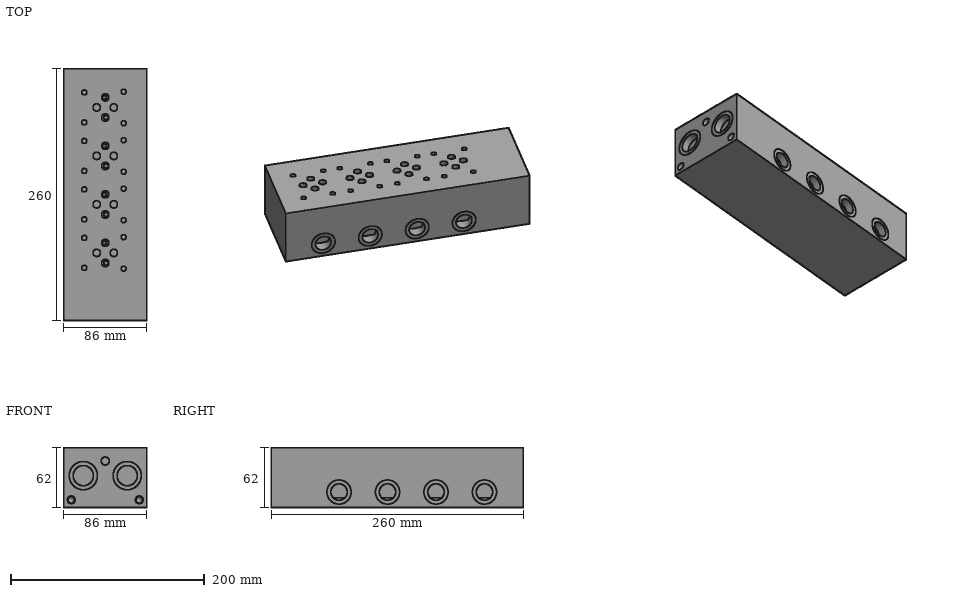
import cadquery as cq
import math

WIDTH = 86.0
LENGTH = 260.0
HEIGHT = 62.0
FRONT = -LENGTH / 2
BOTTOM = -HEIGHT / 2
TOP = HEIGHT / 2

DRILL_POINT_ANGLE = 118.0
SPOT_FACE_DEPTH = 0.3

STATION_COUNT = 4
FIRST_STATION_Y = 90.0
STATION_SPAN = 150.0
STATION_PITCH = STATION_SPAN / (STATION_COUNT - 1)
STATION_YS = [FIRST_STATION_Y - i * STATION_PITCH for i in range(STATION_COUNT)]

BOLT_DIAMETER = 5.2
BOLT_DEPTH = 14.0
LEFT_BOLT_X = -21.5
LEFT_BOLT_SPACING = 31.0
RIGHT_BOLT_X = 19.0
RIGHT_BOLT_SPACING = 32.5

PASSAGE_DIAMETER = 7.5
WORK_PASSAGE_X = 8.8
WORK_PASSAGE_DEPTH = 35.0
FEED_PASSAGE_OFFSET = 10.5
FEED_PASSAGE_DEPTH = 5.2
FEED_DRILL_DIAMETER = 4.2

SIDE_PORT_DIAMETER = 17.0
SIDE_SPOT_DIAMETER = 25.0
SIDE_PORT_DEPTH = 9.0
SIDE_PORT_LOW_DEPTH = 12.0
SIDE_PORT_LEDGE_Z = BOTTOM + 10.5
SIDE_PORT_Z = BOTTOM + 16.0

MAIN_PORT_DIAMETER = 20.8
MAIN_SPOT_DIAMETER = 29.0
MAIN_PORT_DEPTH = 9.0
MAIN_PORT_X = 22.5
MAIN_PORT_Z = BOTTOM + 33.0

GAUGE_DIAMETER = 8.3
GAUGE_DEPTH = 14.0
GAUGE_Z = BOTTOM + 48.0

MOUNT_DIAMETER = 8.0
MOUNT_DEPTH = 15.0
MOUNT_DRILL_DIAMETER = 6.8
MOUNT_DRILL_DEPTH = 20.0
MOUNT_X = 35.0
MOUNT_Z = BOTTOM + 8.0


def flat_hole(start, direction, diameter, depth):
    """Cutter for a flat-bottomed hole running from start along direction."""
    cylinder = cq.Solid.makeCylinder(diameter / 2, depth, cq.Vector(*start), cq.Vector(*direction))
    return cq.Workplane(cylinder)


def pointed_hole(start, direction, diameter, depth):
    """Cutter for a drilled hole; depth is the full-diameter length ahead of the conical tip."""
    tip_length = diameter / 2 / math.tan(math.radians(DRILL_POINT_ANGLE / 2))
    tip_start = cq.Vector(*start) + cq.Vector(*direction).normalized() * depth
    tip = cq.Solid.makeCone(diameter / 2, 0, tip_length, tip_start, cq.Vector(*direction))
    return flat_hole(start, direction, diameter, depth).union(cq.Workplane(tip))


def cut_port(body, start, direction, diameter, depth, spot_diameter):
    """Cut a flat-bottomed port with a shallow spot face around its mouth."""
    body = body.cut(flat_hole(start, direction, spot_diameter, SPOT_FACE_DEPTH))
    return body.cut(flat_hole(start, direction, diameter, depth))


def cut_bolt_holes(body, station_y):
    pairs = [(LEFT_BOLT_X, LEFT_BOLT_SPACING), (RIGHT_BOLT_X, RIGHT_BOLT_SPACING)]
    for x, spacing in pairs:
        for end in (-1, 1):
            start = (x, station_y + end * spacing / 2, TOP)
            body = body.cut(flat_hole(start, (0, 0, -1), BOLT_DIAMETER, BOLT_DEPTH))
    return body


def cut_work_passages(body, station_y):
    for side in (-1, 1):
        start = (side * WORK_PASSAGE_X, station_y, TOP)
        body = body.cut(flat_hole(start, (0, 0, -1), PASSAGE_DIAMETER, WORK_PASSAGE_DEPTH))
    return body


def cut_feed_passages(body, station_y):
    """Pointed holes, each continued by a slanted drill toward the axis height of a main port."""
    for side in (-1, 1):
        y = station_y - side * FEED_PASSAGE_OFFSET
        body = body.cut(pointed_hole((0, y, TOP), (0, 0, -1), PASSAGE_DIAMETER, FEED_PASSAGE_DEPTH))
        bend = cq.Vector(0, y, TOP - FEED_PASSAGE_DEPTH)
        run = cq.Vector(side * MAIN_PORT_X, y, MAIN_PORT_Z) - bend
        body = body.cut(flat_hole(bend.toTuple(), run.toTuple(), FEED_DRILL_DIAMETER, run.Length))
    return body


def cut_side_ports(body, station_y):
    """Port in each long side; its bottom segment, below a flat ledge, runs deeper than the rest."""
    low_zone_height = SIDE_PORT_LEDGE_Z - BOTTOM
    low_zone = cq.Workplane("XY").box(WIDTH, LENGTH, low_zone_height)
    low_zone = low_zone.translate((0, 0, BOTTOM + low_zone_height / 2))
    for side in (-1, 1):
        start = (side * WIDTH / 2, station_y, SIDE_PORT_Z)
        inward = (-side, 0, 0)
        body = cut_port(body, start, inward, SIDE_PORT_DIAMETER, SIDE_PORT_DEPTH, SIDE_SPOT_DIAMETER)
        deep_bore = flat_hole(start, inward, SIDE_PORT_DIAMETER, SIDE_PORT_LOW_DEPTH)
        body = body.cut(deep_bore.intersect(low_zone))
    return body


def cut_front_holes(body):
    inward = (0, 1, 0)
    for side in (-1, 1):
        port_start = (side * MAIN_PORT_X, FRONT, MAIN_PORT_Z)
        body = cut_port(body, port_start, inward, MAIN_PORT_DIAMETER, MAIN_PORT_DEPTH, MAIN_SPOT_DIAMETER)
        mount_start = (side * MOUNT_X, FRONT, MOUNT_Z)
        body = body.cut(flat_hole(mount_start, inward, MOUNT_DIAMETER, MOUNT_DEPTH))
        body = body.cut(pointed_hole(mount_start, inward, MOUNT_DRILL_DIAMETER, MOUNT_DRILL_DEPTH))
    return body.cut(flat_hole((0, FRONT, GAUGE_Z), inward, GAUGE_DIAMETER, GAUGE_DEPTH))


result = cq.Workplane("XY").box(WIDTH, LENGTH, HEIGHT)
for station in STATION_YS:
    result = cut_bolt_holes(result, station)
    result = cut_work_passages(result, station)
    result = cut_feed_passages(result, station)
    result = cut_side_ports(result, station)
result = cut_front_holes(result)